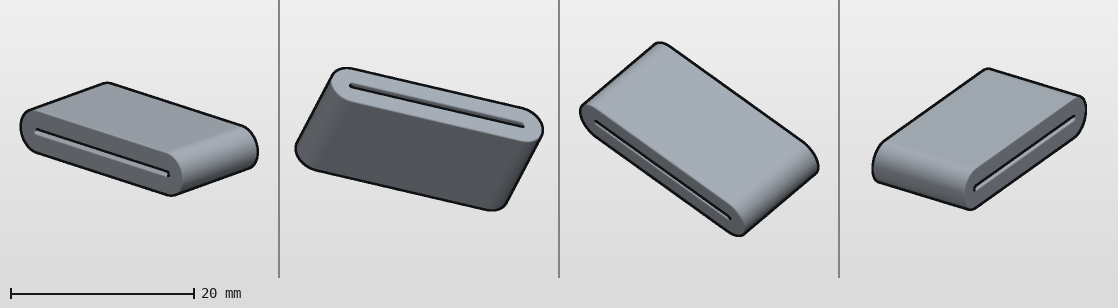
import cadquery as cq

length = 24.5
depth = 12.0
height = 5.0
edge_radius = 0.2

slot_height = 0.5
slot_length = length - height + slot_height


def round_ended_bar(bar_length, bar_height):
    """Full-depth bar along Y with a round-ended section in XZ."""
    return (
        cq.Workplane("XZ")
        .slot2D(bar_length, bar_height)
        .extrude(depth / 2, both=True)
    )


body = round_ended_bar(length, height)
slot = round_ended_bar(slot_length, slot_height)

result = body.cut(slot).faces("<Y or >Y").edges().fillet(edge_radius)